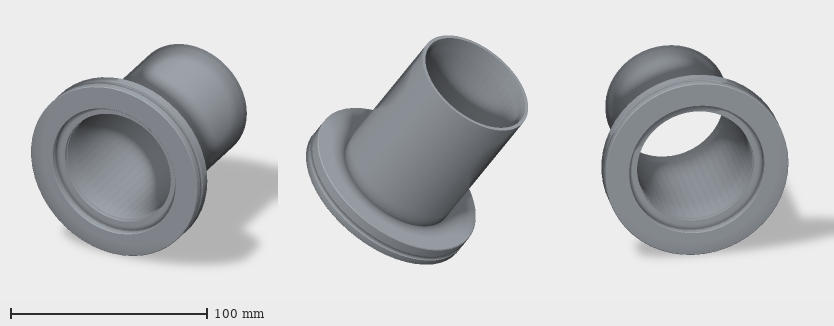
import cadquery as cq

total_length = 88.0

flange_diameter = 95.0
flange_thickness = 12.0
rim_chamfer = 0.4
groove_radius = 1.4
groove_position = 5.0
recess_diameter = 70.0
recess_depth = 4.6
recess_chamfer = 0.3
flange_bore_diameter = 60.4

tube_diameter = 63.5
tube_bore_diameter = 59.85
tube_start = 6.6


def ring(outer_diameter, inner_diameter, start, end):
    """Plain ring about the Y axis, from Y = start to Y = end."""
    return (
        cq.Workplane("XZ", origin=(0, start, 0))
        .circle(outer_diameter / 2)
        .circle(inner_diameter / 2)
        .extrude(start - end)
    )


def cylinder(diameter, start, end):
    """Solid cylinder about the Y axis, from Y = start to Y = end."""
    return cq.Workplane("XZ", origin=(0, start, 0)).circle(diameter / 2).extrude(start - end)


def clamp_groove():
    """Round-bottomed groove centred on the rim surface."""
    return (
        cq.Workplane("XY")
        .center(flange_diameter / 2, groove_position)
        .circle(groove_radius)
        .revolve(360, (-flange_diameter / 2, 0), (-flange_diameter / 2, 1))
    )


def make_flange():
    """Clamp flange with a seal recess in front and a tube socket behind."""
    blank = cylinder(flange_diameter, 0, flange_thickness).edges().chamfer(rim_chamfer)
    recess = cylinder(recess_diameter, 0, recess_depth)
    bore = cylinder(flange_bore_diameter, 0, flange_thickness)
    socket = cylinder(tube_diameter, tube_start, flange_thickness)
    body = blank.cut(recess)
    front_edges = body.faces("<Y").edges()
    recess_rim = front_edges.edges(cq.selectors.RadiusNthSelector(0))
    body = recess_rim.chamfer(recess_chamfer)
    return body.cut(bore).cut(socket).cut(clamp_groove())


def make_tube():
    """Straight tube seated in the flange socket."""
    return ring(tube_diameter, tube_bore_diameter, tube_start, total_length)


flange = make_flange()
tube = make_tube()

result = cq.Compound.makeCompound([flange.val(), tube.val()])